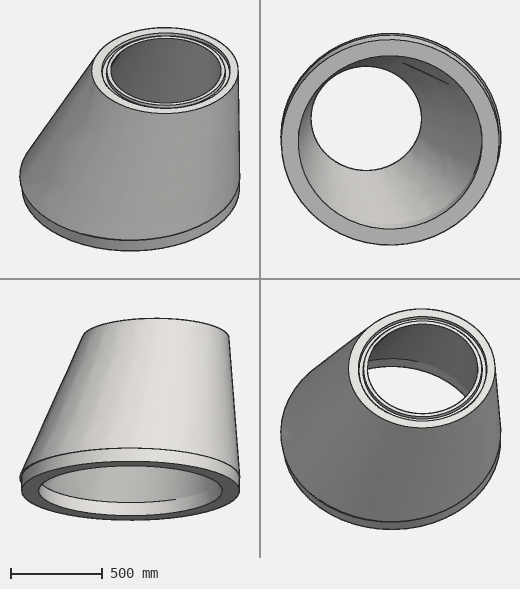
import cadquery as cq


spigot_height = 74.0
cone_height = 750.0
total_height = spigot_height + cone_height

base_diameter = 1198.4
top_diameter = 798.4
top_center_x = (base_diameter - top_diameter) / 2

inner_offset = 5.5
bottom_bore_diameter = 1000.0
top_bore_diameter = 600.0
top_bore_center_x = top_center_x + inner_offset
spigot_diameter = 1186.0

groove_outer_diameter = 700.0
groove_inner_diameter = 642.0
groove_draft = 4.0
groove_depth = 16.0


def frustum(bottom_z, bottom_x, bottom_diameter, top_z, top_x, upper_diameter):
    """Round frustum between two horizontal circles centered on the XZ plane."""
    return (
        cq.Workplane("XY", origin=(bottom_x, 0, bottom_z))
        .circle(bottom_diameter / 2)
        .workplane(offset=top_z - bottom_z)
        .center(top_x - bottom_x, 0)
        .circle(upper_diameter / 2)
        .loft(ruled=True)
    )


def cylinder(bottom_z, center_x, diameter, height):
    """Upright cylinder centered on the XZ plane."""
    return cq.Workplane("XY", origin=(center_x, 0, bottom_z)).circle(diameter / 2).extrude(height)


def make_shell():
    """Solid cone standing on a short, slightly smaller spigot."""
    cone = frustum(spigot_height, 0, base_diameter, total_height, top_center_x, top_diameter)
    return cone.union(cylinder(0, inner_offset, spigot_diameter, spigot_height))


def make_bore():
    """Through opening: straight in the spigot, then tapering parallel to the shell."""
    taper = frustum(
        spigot_height, inner_offset, bottom_bore_diameter,
        total_height, top_bore_center_x, top_bore_diameter,
    )
    return taper.union(cylinder(0, inner_offset, bottom_bore_diameter, spigot_height))


def make_groove():
    """Ring groove in the top face that narrows toward its floor."""
    outer_radius = groove_outer_diameter / 2
    inner_radius = groove_inner_diameter / 2
    section = [
        (inner_radius, total_height),
        (outer_radius, total_height),
        (outer_radius - groove_draft, total_height - groove_depth),
        (inner_radius + groove_draft, total_height - groove_depth),
    ]
    ring = cq.Workplane("XZ").polyline(section).close().revolve(360, (0, 0, 0), (0, 1, 0))
    return ring.translate((top_bore_center_x, 0, 0))


result = make_shell().cut(make_bore()).cut(make_groove())